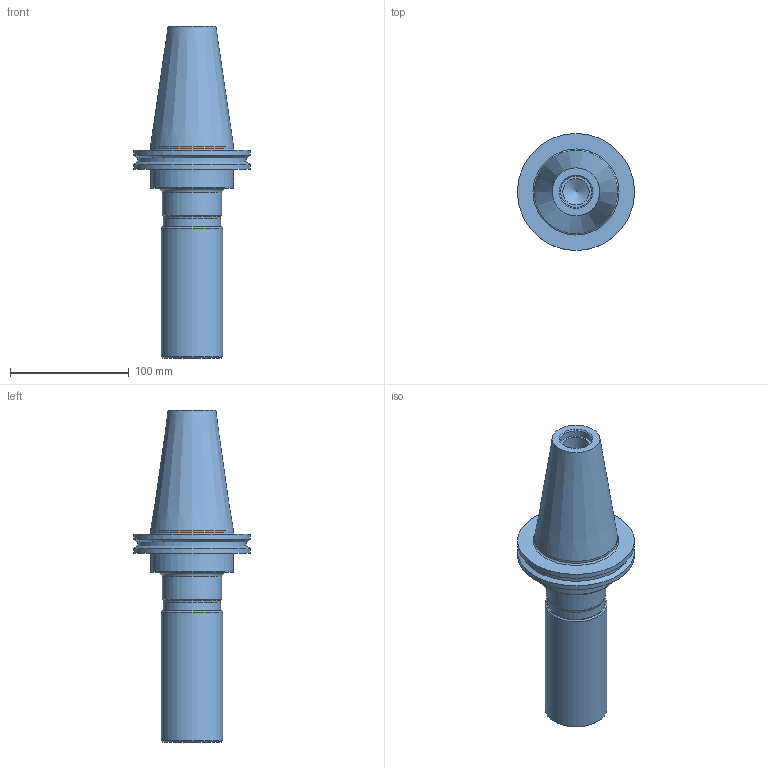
import cadquery as cq
import math

INCH = 25.4

gauge_radius = 2.75 * INCH / 2
taper_length = 4.0 * INCH
taper_per_length = 7 / 24
taper_tip_radius = gauge_radius - taper_length * taper_per_length / 2

flange_radius = 3.875 * INCH / 2
flange_top = -0.125 * INCH
flange_bottom = -0.75 * INCH
flange_fillet = 1.3
groove_middle = -0.4375 * INCH
groove_depth = 3.7
groove_floor_radius = flange_radius - groove_depth
groove_flank_angle = 30.0
groove_floor_half_width = 1.8
groove_mouth_half_width = groove_floor_half_width + groove_depth * math.tan(math.radians(groove_flank_angle))

collar_radius = gauge_radius
collar_bottom = -1.375 * INCH
collar_edge_round = 0.8
neck_radius = 25.0
neck_fillet = 3.5
neck_bottom = -57.8
neck_chamfer = 0.6
relief_radius = 24.1
relief_taper_height = 2.4

bar_radius = 26.0
bar_top = -67.4
bar_bottom = -7.0 * INCH
bar_top_round = 1.2
bar_bottom_chamfer = 1.2

counterbore_radius = 13.1
counterbore_depth = 6.3
counterbore_chamfer = 1.0
bore_radius = 11.1
bore_depth = 1.75 * INCH
bore_tip_angle = 118.0


def make_holder():
    """Socket, taper, flange, collar, neck and relief, turned about Z."""
    cos45 = math.cos(math.radians(45))
    bore_bottom = taper_length - bore_depth
    cone_height = bore_radius / math.tan(math.radians(bore_tip_angle / 2))
    flange_center = (gauge_radius + flange_fillet, flange_top + flange_fillet)
    collar_center = (collar_radius - collar_edge_round, collar_bottom + collar_edge_round)
    neck_center = (neck_radius + neck_fillet, collar_bottom - neck_fillet)
    outline = (
        cq.Workplane("XZ")
        .moveTo(0, bore_bottom - cone_height)
        .lineTo(bore_radius, bore_bottom)
        .lineTo(bore_radius, taper_length - counterbore_depth)
        .lineTo(counterbore_radius, taper_length - counterbore_depth)
        .lineTo(counterbore_radius, taper_length - counterbore_chamfer)
        .lineTo(counterbore_radius + counterbore_chamfer, taper_length)
        .lineTo(taper_tip_radius, taper_length)
        .lineTo(gauge_radius, 0)
        .lineTo(gauge_radius, flange_center[1])
        .threePointArc(
            (flange_center[0] - flange_fillet * cos45, flange_center[1] - flange_fillet * cos45),
            (flange_center[0], flange_top),
        )
        .lineTo(flange_radius, flange_top)
        .lineTo(flange_radius, groove_middle + groove_mouth_half_width)
        .lineTo(groove_floor_radius, groove_middle + groove_floor_half_width)
        .lineTo(groove_floor_radius, groove_middle - groove_floor_half_width)
        .lineTo(flange_radius, groove_middle - groove_mouth_half_width)
        .lineTo(flange_radius, flange_bottom)
        .lineTo(collar_radius, flange_bottom)
        .lineTo(collar_radius, collar_center[1])
        .threePointArc(
            (collar_center[0] + collar_edge_round * cos45, collar_center[1] - collar_edge_round * cos45),
            (collar_center[0], collar_bottom),
        )
        .lineTo(neck_center[0], collar_bottom)
        .threePointArc(
            (neck_center[0] - neck_fillet * cos45, neck_center[1] + neck_fillet * cos45),
            (neck_radius, neck_center[1]),
        )
        .lineTo(neck_radius, neck_bottom)
        .lineTo(neck_radius - neck_chamfer, neck_bottom - neck_chamfer)
        .lineTo(relief_radius, neck_bottom - relief_taper_height)
        .lineTo(relief_radius, bar_top)
        .lineTo(0, bar_top)
        .close()
    )
    return outline.revolve(360, (0, 0, 0), (0, 1, 0))


def make_bar():
    """Plain round bar, rounded where it seats against the holder and chamfered at the free end."""
    return (
        cq.Workplane("XY", origin=(0, 0, bar_bottom))
        .circle(bar_radius)
        .extrude(bar_top - bar_bottom)
        .faces(">Z")
        .edges()
        .fillet(bar_top_round)
        .faces("<Z")
        .edges()
        .chamfer(bar_bottom_chamfer)
    )


holder = make_holder()
bar = make_bar()
result = cq.Compound.makeCompound([holder.val(), bar.val()])